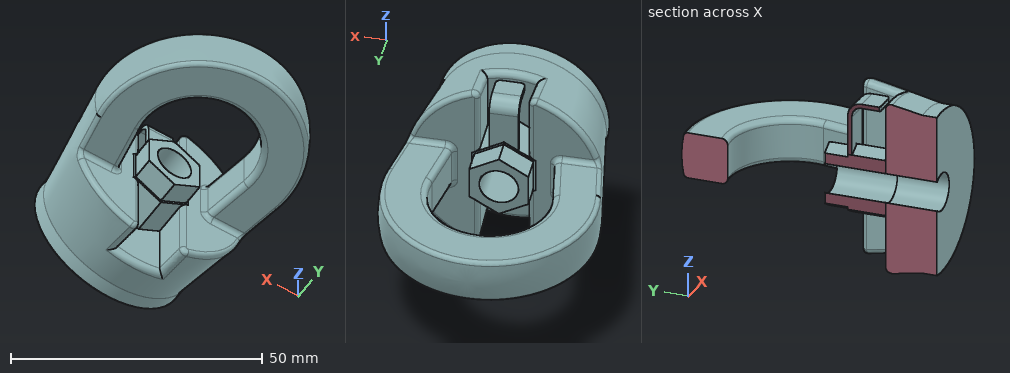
import cadquery as cq
import math

overall_height = 55.0
head_radius = 22.4
foot_radius = 17.5
foot_height = 3.15
base_height = 19.2
eye_thickness = 9.95
eye_hole_radius = 12.55
bore_diameter = 8.0

outer_edge_fillet = 1.0
eye_hole_fillet = 1.3
blend_fillet = 1.1

notch_width = 10.0
notch_floor = 11.1
notch_fillet = 1.3

hex_across_flats = 12.05
hex_base_across_flats = 13.0
hex_top = 24.1

clip_width = 5.95
clip_thickness = 1.0
clip_bend_radius = 2.95
clip_corner_radius = 1.0
clip_top = 17.5
clip_tip = 12.2

head_center = overall_height - head_radius
eye_half = eye_thickness / 2
center_rise = head_center - foot_height
taper = math.atan2(center_rise, foot_radius) - math.acos(head_radius / math.hypot(foot_radius, center_rise))
slot_floor = notch_floor - 2 * notch_fillet
diagonal = math.sqrt(0.5)
hex_corner_angle = 30.0
clear = 2 * overall_height
tolerance = 0.005


def slab(width, bottom, top, depth):
    """Block centred on X and Z, from Y = bottom to Y = top."""
    return cq.Workplane("XY").box(width, top - bottom, depth).translate((0, (bottom + top) / 2, 0))


def hex_prism(across_flats, bottom, top):
    """Hexagonal prism along Y with two corners on the Z axis."""
    return (
        cq.Workplane("XZ", origin=(0, bottom, 0))
        .polygon(6, across_flats / math.cos(math.radians(hex_corner_angle)))
        .extrude(bottom - top)
        .rotate((0, 0, 0), (0, 1, 0), hex_corner_angle)
    )


def bore(bottom, top):
    """Round core of the bolting hole along Y."""
    return cq.Workplane("XZ", origin=(0, bottom, 0)).circle(bore_diameter / 2).extrude(bottom - top)


def turned_blank():
    """Foot cylinder, cone and spherical crown, turned about Y."""
    tangent_x = head_radius * math.cos(taper)
    tangent_y = head_center - head_radius * math.sin(taper)
    return (
        cq.Workplane("XY")
        .moveTo(0, 0)
        .lineTo(foot_radius, 0)
        .lineTo(foot_radius, foot_height)
        .lineTo(tangent_x, tangent_y)
        .threePointArc(
            (head_radius * diagonal, head_center + head_radius * diagonal),
            (0, overall_height),
        )
        .close()
        .revolve(360, (0, 0, 0), (0, 1, 0))
    )


def eye_opening():
    """Round hole of the eye whose straight sides taper down to the shoulder."""
    tangent_x = eye_hole_radius * math.cos(taper)
    tangent_y = head_center - eye_hole_radius * math.sin(taper)
    floor_x = tangent_x - (tangent_y - base_height) * math.tan(taper)
    return (
        cq.Workplane("XY")
        .moveTo(floor_x, base_height)
        .lineTo(tangent_x, tangent_y)
        .threePointArc((0, head_center + eye_hole_radius), (-tangent_x, tangent_y))
        .lineTo(-floor_x, base_height)
        .close()
        .extrude(clear / 2, both=True)
    )



def on_plane(low, high, level):
    """True where an edge's extent along one axis stays at one level."""
    return abs(low - level) < tolerance and abs(high - level) < tolerance


def on_shoulder(edge):
    box = edge.BoundingBox()
    return on_plane(box.ymin, box.ymax, base_height)


def on_eye_flat(edge):
    box = edge.BoundingBox()
    return on_plane(box.zmin, box.zmax, eye_half) or on_plane(box.zmin, box.zmax, -eye_half)


def is_eye_hole_edge(edge):
    """Edge of the eye's hole on either flat."""
    box = edge.BoundingBox()
    inside = max(abs(box.xmin), abs(box.xmax)) < eye_hole_radius + tolerance
    return on_eye_flat(edge) and inside


def is_blend_edge(edge):
    """Straight edge where the eye stands on the shoulder."""
    return on_shoulder(edge) and edge.geomType() == "LINE"


def is_notch_side(edge):
    """Edge where a side wall of a notch breaks through the cone."""
    box = edge.BoundingBox()
    on_wall = on_plane(abs(box.xmin), abs(box.xmax), notch_width / 2)
    return on_wall and box.zmin * box.zmax > foot_radius**2 and edge.geomType() == "HYPERBOLA"


def is_outline_edge(edge):
    """Rim of the shoulder, rim of the eye, and the blends that join them."""
    box = edge.BoundingBox()
    beyond_hole = max(abs(box.xmin), abs(box.xmax)) > eye_hole_radius
    rim = on_shoulder(edge) and edge.geomType() == "CIRCLE"
    eye_rim = on_eye_flat(edge) and edge.geomType() in ("HYPERBOLA", "CIRCLE") and beyond_hole
    return rim or eye_rim


def fillet_where(body, is_wanted, radius):
    wanted = [edge for edge in body.edges().vals() if is_wanted(edge)]
    return body.newObject(wanted).fillet(radius)


def make_core():
    """Lower part of the base, with a rounded rim that forms the floor edge of the notches."""
    return turned_blank().intersect(slab(clear, 0, notch_floor, clear)).faces(">Y").edges().fillet(notch_fillet)


def make_shell():
    """Tapered base and eye, with slots at +Z and -Z that run down past the notch floor."""
    envelope = slab(clear, 0, base_height, clear).union(slab(clear, 0, overall_height, eye_thickness))
    body = turned_blank().intersect(envelope).cut(eye_opening())
    body = fillet_where(body, is_eye_hole_edge, eye_hole_fillet)
    body = fillet_where(body, is_blend_edge, blend_fillet)
    body = body.cut(slab(notch_width, slot_floor, base_height, clear))
    body = fillet_where(body, is_notch_side, notch_fillet)
    return fillet_where(body, is_outline_edge, outer_edge_fillet)


def make_housing():
    """Shell whose slots are filled up to the notch floor, with a stepped hole for the insert."""
    body = make_shell().union(make_core())
    body = body.cut(hex_prism(hex_base_across_flats, notch_floor, base_height))
    return body.cut(bore(0, notch_floor))


def make_hex_insert():
    """Bored hexagon with a wider base that fills the housing up to its shoulder."""
    base = hex_prism(hex_base_across_flats, notch_floor, base_height)
    head = hex_prism(hex_across_flats, base_height, hex_top)
    return base.union(head).cut(bore(notch_floor, hex_top))


def make_clip():
    """Strip that stands on the hexagon, bends over and ends in a tab inside the notch."""
    bend_y = base_height - clip_bend_radius
    bend_z = clip_top - clip_bend_radius
    inner_radius = clip_bend_radius - clip_thickness
    strip = (
        cq.Workplane("YZ")
        .moveTo(base_height, 0)
        .lineTo(base_height, bend_z)
        .threePointArc(
            (bend_y + clip_bend_radius * diagonal, bend_z + clip_bend_radius * diagonal),
            (bend_y, clip_top),
        )
        .lineTo(clip_tip, clip_top)
        .lineTo(clip_tip, clip_top - clip_thickness)
        .lineTo(bend_y, clip_top - clip_thickness)
        .threePointArc(
            (bend_y + inner_radius * diagonal, bend_z + inner_radius * diagonal),
            (base_height - clip_thickness, bend_z),
        )
        .lineTo(base_height - clip_thickness, 0)
        .close()
        .extrude(clip_width / 2, both=True)
    )
    strip = strip.faces("<Y").edges("|Z").fillet(clip_corner_radius)
    return strip.cut(hex_prism(hex_base_across_flats, notch_floor, base_height))


housing = make_housing()
hex_insert = make_hex_insert()
clip = make_clip()

result = cq.Compound.makeCompound([housing.solids().val(), hex_insert.solids().val(), clip.solids().val()])